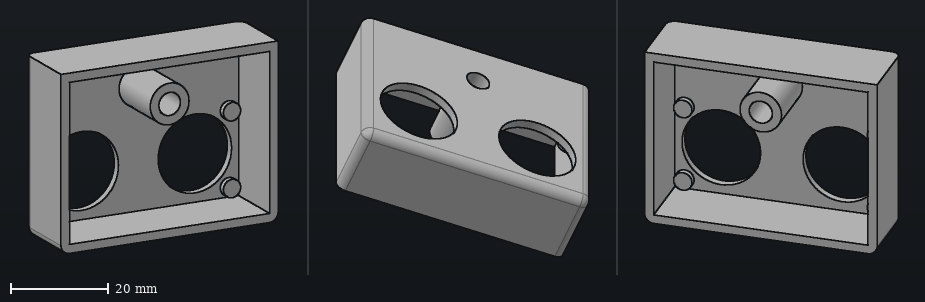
import cadquery as cq

depth = 16.0
width = 50.45
height = 39.0
wall = 2.0
edge_radius = 2.0

opening_diameter = 17.0
opening_spacing = 26.25
opening_height = 12.5

screw_hole_diameter = 5.0
screw_hole_height = height - 10.0
boss_diameter = screw_hole_diameter + 2 * wall

standoff_diameter = 4.0
standoff_length = 1.4
standoff_spacing_y = 42.0
standoff_spacing_z = 16.6


def rounded_block():
    """Solid block with its front plate at X = 0, rounded along the front sides and the bottom."""
    block = cq.Workplane("XY").box(depth, width, height, centered=(False, True, False))
    return block.edges("(<X and |Z) or (<Z and (not >X))").fillet(edge_radius)


def cavity():
    """Inside space, open at the back."""
    size = (depth - wall, width - 2 * wall, height - 2 * wall)
    return cq.Workplane("XY").box(*size, centered=(False, True, False)).translate((wall, 0, wall))


def cylinder_along_x(diameter, y, z, x_start, x_end):
    """Cylinder parallel to X between two X positions."""
    profile = cq.Workplane("YZ", origin=(x_start, y, z)).circle(diameter / 2)
    return profile.extrude(x_end - x_start)


def screw_boss():
    """Tube wall around the screw hole, from the front plate to the open back."""
    return cylinder_along_x(boss_diameter, 0, screw_hole_height, wall, depth)


def standoffs():
    """Four short round posts on the inside of the front plate."""
    posts = cq.Workplane("YZ")
    for side_y in (-1, 1):
        for side_z in (-1, 1):
            y = side_y * standoff_spacing_y / 2
            z = opening_height + side_z * standoff_spacing_z / 2
            posts = posts.add(cylinder_along_x(standoff_diameter, y, z, wall, wall + standoff_length))
    return posts.combine()


def large_openings():
    """The two round openings through the front plate."""
    left = cylinder_along_x(opening_diameter, opening_spacing / 2, opening_height, 0, wall)
    right = cylinder_along_x(opening_diameter, -opening_spacing / 2, opening_height, 0, wall)
    return left.union(right)


def screw_hole():
    """Hole through the front plate and the boss."""
    return cylinder_along_x(screw_hole_diameter, 0, screw_hole_height, 0, depth)


housing = rounded_block().cut(cavity())
housing = housing.union(screw_boss()).union(standoffs())
result = housing.cut(large_openings()).cut(screw_hole())